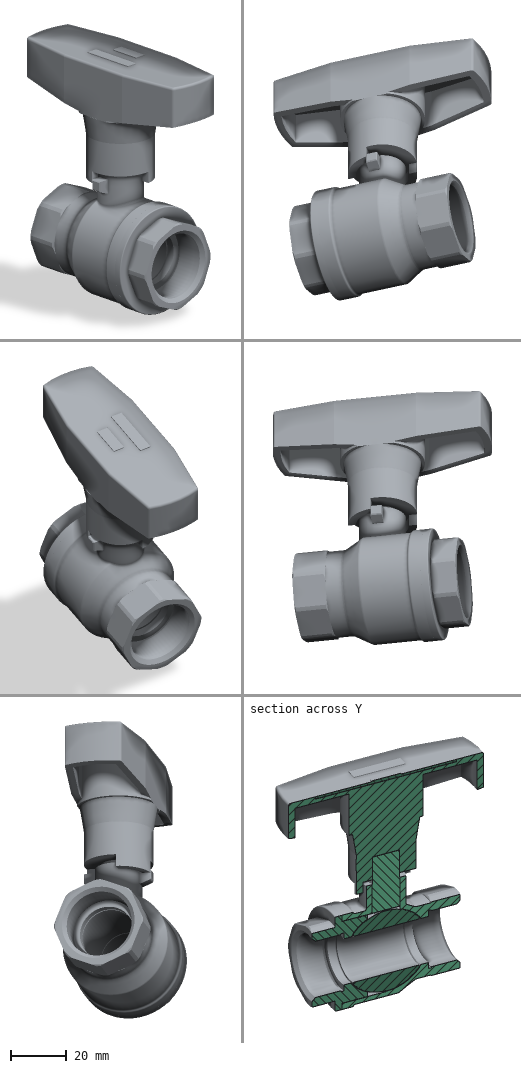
import cadquery as cq
import math


half_length = 30.0
octagon_flats = 31.0
octagon_round_d = 33.0
octagon_chamfer = 0.5
inlet_octagon_length = 12.0
waist_d = 31.2
waist_end_x = -11.9
cone_end_x = -5.0
cone_blend_r = 1.3
barrel_d = 39.0
collar_d = 40.5
collar_start_x = 13.1
collar_end_x = 20.7
collar_edge = 0.4
collar_blend_half_length = 0.7
joint_x = 17.9

pick_margin = 0.1

ball_d = 34.5
port_d = 20.0
ball_length = 26.8
thread_d = 24.2
thread_mouth_d = 27.0
thread_depth = 12.8
relief_d = 24.9
relief_width = 1.0
cavity_clearance = 0.4
spigot_start_x = 7.5

neck_d = 17.0
neck_top_z = 29.6
neck_blend_r = 0.75
lug_width = 4.1
lug_reach = 12.5
lug_top_z = 28.3
lug_tip_bottom_z = 24.4
lug_root_bottom_z = 22.9
lug_chamfer = 0.33

stem_d = 12.4
stem_top_z = 41.2
tang_width = 5.4
tang_length = 9.0
tang_depth = 3.7

overall_height = 93.65
top_z = overall_height - collar_d / 2
label_height = 0.4
grip_top_z = top_z - label_height
grip_half_length = 39.6
grip_half_width = 13.8
grip_parallel_half_length = 15.1
grip_corner_x = 37.9
grip_corner_y = 10.5
grip_end_bottom_z = 58.2
grip_bottom_z = 52.7
grip_flat_half_length = 2.25
grip_corner_r = 1.0
grip_edge_r = 0.9
grip_wall = 2.8
hub_d = 30.6

sleeve_d = 25.0
sleeve_top_d = 27.9
sleeve_cone_z = 43.8
sleeve_bottom_z = 31.4
stop_bottom_z = 27.0
stop_inner_d = 19.2
stop_gap = lug_width / 2

plate_half_length = 28.4
plate_half_width = 10.2
plate_corner_x = 23.1
plate_corner_y = 9.8
plate_end_half_width = 5.1
plate_thickness = 0.9

label_bands = [(12.0, 4.1), (20.8, -4.3)]
label_width = 4.2


def disc(diameter, x_start, x_end):
    """Cylinder on the pipe axis."""
    return cq.Workplane("YZ", origin=(x_start, 0, 0)).circle(diameter / 2).extrude(x_end - x_start)


def post(diameter, z_start, z_end):
    """Cylinder on the stem axis."""
    return cq.Workplane("XY", origin=(0, 0, z_start)).circle(diameter / 2).extrude(z_end - z_start)


def ball_sphere():
    """Full sphere of the ball, turned about the pipe axis."""
    ball_r = ball_d / 2
    half_disc = cq.Workplane("XZ").moveTo(-ball_r, 0).threePointArc((0, ball_r), (ball_r, 0)).close()
    return half_disc.revolve(360, (0, 0, 0), (1, 0, 0))


def wrench_octagon(x_start, x_end):
    """Octagon with a corner on top, its corners turned down and its ends chamfered."""
    corner_d = octagon_flats / math.cos(math.pi / 8)
    prism = cq.Workplane("YZ", origin=(x_start, 0, 0)).polygon(8, corner_d).extrude(x_end - x_start)
    turned = disc(octagon_round_d, x_start, x_end).faces("<X or >X").chamfer(octagon_chamfer)
    return prism.intersect(turned)


def thread_bore(side):
    """Chamfered thread bore, cut from the pipe end on the given side (-1 or +1)."""
    chamfer = (thread_mouth_d - thread_d) / 2
    end_x = side * half_length
    return (
        cq.Workplane("XZ")
        .moveTo(end_x, 0)
        .lineTo(end_x, thread_mouth_d / 2)
        .lineTo(end_x - side * chamfer, thread_d / 2)
        .lineTo(end_x - side * (thread_depth - relief_width), thread_d / 2)
        .lineTo(end_x - side * (thread_depth - relief_width), relief_d / 2)
        .lineTo(end_x - side * thread_depth, relief_d / 2)
        .lineTo(end_x - side * thread_depth, 0)
        .close()
        .revolve(360, (0, 0, 0), (1, 0, 0))
    )


def barrel():
    """Waist, cone, barrel and the housing's share of the collar, turned about the pipe axis."""
    waist_r = waist_d / 2
    barrel_r = barrel_d / 2
    collar_r = collar_d / 2
    run = collar_blend_half_length
    rise = (collar_r - barrel_r) / 2
    blend_r = (run**2 + rise**2) / (2 * rise)
    half_turn = math.asin(run / blend_r) / 2
    arc_run = blend_r * math.sin(half_turn)
    arc_rise = blend_r * (1 - math.cos(half_turn))
    turned = (
        cq.Workplane("XZ")
        .moveTo(-half_length + inlet_octagon_length, 0)
        .lineTo(-half_length + inlet_octagon_length, waist_r)
        .lineTo(waist_end_x, waist_r)
        .lineTo(cone_end_x, barrel_r)
        .lineTo(collar_start_x - run, barrel_r)
        .threePointArc(
            (collar_start_x - run + arc_run, barrel_r + arc_rise),
            (collar_start_x, barrel_r + rise),
        )
        .threePointArc(
            (collar_start_x + run - arc_run, collar_r - arc_rise),
            (collar_start_x + run, collar_r),
        )
        .lineTo(joint_x, collar_r)
        .lineTo(joint_x, 0)
        .close()
        .revolve(360, (0, 0, 0), (1, 0, 0))
    )
    cone_edges = cq.selectors.BoxSelector(
        (waist_end_x - pick_margin, -collar_d, -collar_d),
        (cone_end_x + pick_margin, collar_d, collar_d),
        boundingbox=True,
    )
    return turned.edges(cone_edges).fillet(cone_blend_r)


def lug(side):
    """Stop lug on the neck, pointing along Y on the given side (-1 or +1)."""
    profile = (
        cq.Workplane("YZ", origin=(-lug_width / 2, 0, 0))
        .moveTo(0, lug_top_z)
        .lineTo(side * lug_reach, lug_top_z)
        .lineTo(side * lug_reach, lug_tip_bottom_z)
        .lineTo(side * neck_d / 2, lug_root_bottom_z)
        .lineTo(0, lug_root_bottom_z)
        .close()
    )
    tip = ">Y" if side > 0 else "<Y"
    return profile.extrude(lug_width).faces(tip).chamfer(lug_chamfer)


def lies_on_neck(edge):
    middle = edge.positionAt(0.5)
    return math.isclose(math.hypot(middle.x, middle.y), neck_d / 2, abs_tol=pick_margin / 10)


def make_housing():
    """Inlet half of the valve: octagon, barrel and neck, bored for the ball and the stem."""
    body = barrel().union(post(neck_d, 0, neck_top_z))
    neck_reach = neck_d / 2 + pick_margin
    neck_foot = cq.selectors.BoxSelector(
        (-neck_reach, -neck_reach, waist_d / 2),
        (neck_reach, neck_reach, barrel_d / 2 + pick_margin),
        boundingbox=True,
    )
    foot_edges = [edge for edge in body.edges(neck_foot).vals() if lies_on_neck(edge)]
    body = body.newObject(foot_edges).fillet(neck_blend_r)
    body = body.union(wrench_octagon(-half_length, -half_length + inlet_octagon_length))
    for side in (-1, 1):
        body = body.union(lug(side))
    return (
        body.cut(thread_bore(-1))
        .cut(disc(port_d, -half_length, 0))
        .cut(ball_sphere())
        .cut(disc(ball_d + cavity_clearance, 0, joint_x))
        .cut(post(stem_d, 0, neck_top_z))
    )


def make_tail_piece():
    """Screwed-in end with a spigot that seats the ball."""
    flange = disc(collar_d, joint_x, collar_end_x).faces(">X").edges().fillet(collar_edge)
    spigot = disc(ball_d + cavity_clearance, spigot_start_x, joint_x)
    return (
        flange.union(spigot)
        .union(wrench_octagon(collar_end_x, half_length))
        .cut(thread_bore(1))
        .cut(disc(port_d, 0, half_length))
        .cut(ball_sphere())
    )


def stem_tang():
    """Flat key below the stem that fills the ball's slot."""
    tang_plane = cq.Workplane("XY", origin=(0, 0, ball_d / 2 - tang_depth))
    return tang_plane.rect(tang_length, tang_width).extrude(tang_depth)


def make_ball():
    """Through-bored ball with flat ends and a slot on top for the stem tang."""
    flattened = ball_sphere().intersect(disc(ball_d, -ball_length / 2, ball_length / 2))
    return flattened.cut(disc(port_d, -ball_length / 2, ball_length / 2)).cut(stem_tang())


def make_stem():
    """Round stem standing on the ball, with a tang that turns it."""
    return post(stem_d, ball_d / 2, stem_top_z).union(stem_tang())


def grip_plan():
    """Plan outline of the grip: parallel middle, tapered ends, bowed tips."""
    return (
        cq.Workplane("XY")
        .moveTo(-grip_parallel_half_length, -grip_half_width)
        .lineTo(grip_parallel_half_length, -grip_half_width)
        .lineTo(grip_corner_x, -grip_corner_y)
        .threePointArc((grip_half_length, 0), (grip_corner_x, grip_corner_y))
        .lineTo(grip_parallel_half_length, grip_half_width)
        .lineTo(-grip_parallel_half_length, grip_half_width)
        .lineTo(-grip_corner_x, grip_corner_y)
        .threePointArc((-grip_half_length, 0), (-grip_corner_x, -grip_corner_y))
        .close()
    )


def grip_side_profile():
    """Solid as wide as the grip, with the underside rising towards both ends."""
    return (
        cq.Workplane("XZ")
        .moveTo(-grip_flat_half_length, grip_bottom_z)
        .lineTo(grip_flat_half_length, grip_bottom_z)
        .lineTo(grip_half_length, grip_end_bottom_z)
        .lineTo(grip_half_length, grip_top_z)
        .lineTo(-grip_half_length, grip_top_z)
        .lineTo(-grip_half_length, grip_end_bottom_z)
        .close()
        .extrude(grip_half_width, both=True)
    )


def make_grip():
    """Hollow grip, open below, around a solid hub."""
    block = grip_plan().extrude(grip_top_z)
    block = block.edges("|Z").edges("<X or >X").fillet(grip_corner_r)
    block = block.faces(">Z").edges().fillet(grip_edge_r)
    hub = post(hub_d, grip_bottom_z, grip_top_z - grip_wall).intersect(block)
    hollow = grip_plan().offset2D(-grip_wall).extrude(grip_top_z - grip_wall)
    return block.intersect(grip_side_profile()).cut(hollow).union(hub)


def sleeve():
    """Round shank below the grip, flaring up to the grip's width."""
    return (
        cq.Workplane("XZ")
        .moveTo(0, sleeve_bottom_z)
        .lineTo(sleeve_d / 2, sleeve_bottom_z)
        .lineTo(sleeve_d / 2, sleeve_cone_z)
        .lineTo(sleeve_top_d / 2, grip_bottom_z)
        .lineTo(0, grip_bottom_z)
        .close()
        .revolve(360, (0, 0, 0), (0, 1, 0))
    )


def sleeve_stop(side):
    """Quarter-ring under the sleeve that swings between the neck lugs."""
    outside = post(sleeve_d, stop_bottom_z, sleeve_bottom_z)
    inside = post(stop_inner_d, stop_bottom_z, sleeve_bottom_z)
    centre = side * (stop_gap + sleeve_d / 2)
    quadrant = cq.Workplane("XY").center(centre, centre).rect(sleeve_d, sleeve_d).extrude(sleeve_bottom_z)
    return outside.cut(inside).intersect(quadrant)


def plate_blank():
    """Eight-sided plate with slightly bowed long edges, flush with the grip's top."""
    return (
        cq.Workplane("XY", origin=(0, 0, grip_top_z - plate_thickness))
        .moveTo(-plate_corner_x, -plate_corner_y)
        .threePointArc((0, -plate_half_width), (plate_corner_x, -plate_corner_y))
        .lineTo(plate_half_length, -plate_end_half_width)
        .lineTo(plate_half_length, plate_end_half_width)
        .lineTo(plate_corner_x, plate_corner_y)
        .threePointArc((0, plate_half_width), (-plate_corner_x, plate_corner_y))
        .lineTo(-plate_half_length, plate_end_half_width)
        .lineTo(-plate_half_length, -plate_end_half_width)
        .close()
        .extrude(plate_thickness)
    )


def make_handle():
    """Grip, sleeve and stops, with a blind socket for the stem and a recess for the name plate."""
    handle = make_grip().union(sleeve())
    for side in (-1, 1):
        handle = handle.union(sleeve_stop(side))
    return handle.cut(post(stem_d, sleeve_bottom_z, stem_top_z)).cut(plate_blank())


def make_name_plate():
    """Plate with two raised label bands."""
    plate = plate_blank()
    for length, centre_y in label_bands:
        band = cq.Workplane("XY", origin=(0, centre_y, grip_top_z)).rect(length, label_width).extrude(label_height)
        plate = plate.union(band)
    return plate


housing = make_housing()
tail_piece = make_tail_piece()
ball = make_ball()
stem = make_stem()
handle = make_handle()
name_plate = make_name_plate()

result = cq.Compound.makeCompound(
    [housing.val(), tail_piece.val(), ball.val(), stem.val(), handle.val(), name_plate.val()]
)